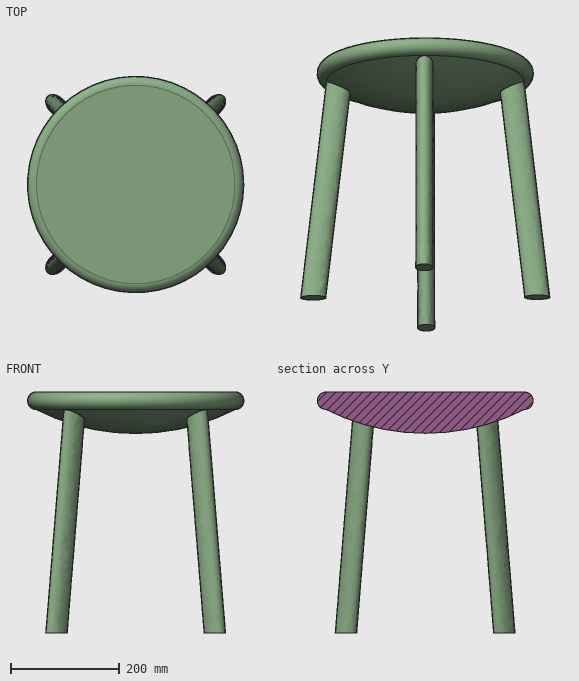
import cadquery as cq
import math

height = 446.5
seat_diameter = 400.0

seat_thickness = 33.0
dome_depth = 44.0

leg_count = 4
leg_radial_width = 46.5
leg_tangential_width = 31.5
foot_offset = 146.5
leg_top_offset = 113.0
leg_embed = 9.0

seat_radius = seat_diameter / 2
rim_radius = seat_thickness / 2
flat_radius = seat_radius - rim_radius
seat_underside = height - seat_thickness


def make_seat():
    """Revolve the half section of the rounded disc and its dome."""
    dome_bottom = seat_underside - dome_depth
    sphere_radius = (flat_radius**2 + dome_depth**2) / (2 * dome_depth)
    dome_mid_radius = flat_radius / 2
    dome_mid_height = dome_bottom + sphere_radius - math.sqrt(sphere_radius**2 - dome_mid_radius**2)
    return (
        cq.Workplane("XZ")
        .moveTo(0, height)
        .lineTo(flat_radius, height)
        .threePointArc((seat_radius, height - rim_radius), (flat_radius, seat_underside))
        .threePointArc((dome_mid_radius, dome_mid_height), (0, dome_bottom))
        .close()
        .revolve(360, (0, 0, 0), (0, 1, 0))
    )


def make_leg():
    """Sweep the horizontal elliptical section from the foot into the seat, leaning along X."""
    foot_radius = foot_offset * math.sqrt(2)
    lean = (foot_offset - leg_top_offset) * math.sqrt(2) / seat_underside
    leg_height = seat_underside + leg_embed
    top_radius = foot_radius - lean * leg_height
    return (
        cq.Workplane("XY")
        .center(foot_radius, 0)
        .ellipse(leg_radial_width / 2, leg_tangential_width / 2)
        .workplane(offset=leg_height)
        .center(top_radius - foot_radius, 0)
        .ellipse(leg_radial_width / 2, leg_tangential_width / 2)
        .loft(ruled=True)
    )


result = make_seat()
leg = make_leg()
leg_spacing = 360 / leg_count
for index in range(leg_count):
    angle = (index + 0.5) * leg_spacing
    result = result.union(leg.rotate((0, 0, 0), (0, 0, 1), angle))